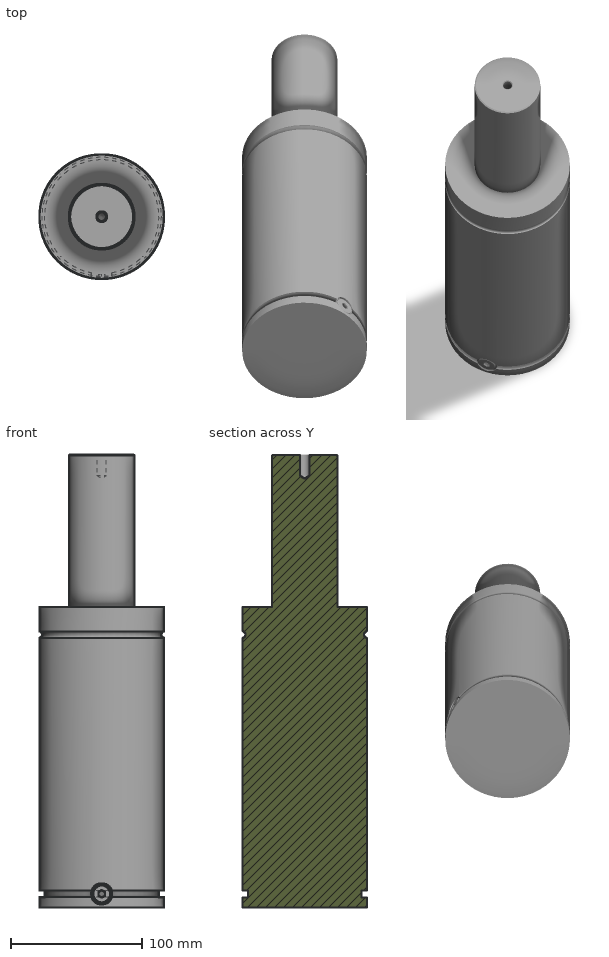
import cadquery as cq
import math

body_diameter = 95.0
body_height = 229.0
overall_height = 345.0

rod_diameter = 50.0
rod_chamfer_width = 1.0
rod_chamfer_height = 0.5

base_groove_bottom = 8.0
base_groove_width = 5.0
base_groove_depth = 4.0

collar_height = 18.5
collar_groove_width = 5.0
collar_groove_depth = 2.1

rod_hole_diameter = 6.8
rod_hole_mouth_diameter = 8.0
rod_hole_depth = 16.0
rod_hole_tip_angle = 118.0

plug_diameter = 14.0
plug_chamfer = 0.5
plug_length = 8.0
plug_face_setback = 0.5
plug_recess_diameter = 16.0
plug_recess_depth = 1.5
plug_hexagon_across_flats = 5.0
plug_hexagon_depth = 3.0
hexagon_sides = 6

body_radius = body_diameter / 2
rod_radius = rod_diameter / 2
plug_height = base_groove_bottom + base_groove_width / 2
plug_face_y = plug_face_setback - body_radius
plug_seat_y = plug_recess_depth - body_radius
plug_inner_y = plug_face_y + plug_length


def turned_body():
    """Revolve the cylinder and its piston rod, with both body grooves."""
    base_groove_radius = body_radius - base_groove_depth
    base_groove_top = base_groove_bottom + base_groove_width
    collar_groove_radius = body_radius - collar_groove_depth
    collar_bottom = body_height - collar_height
    collar_groove_bottom = collar_bottom - collar_groove_width
    collar_groove_middle = collar_bottom - collar_groove_width / 2
    profile = (
        cq.Workplane("XZ")
        .lineTo(body_radius, 0)
        .lineTo(body_radius, base_groove_bottom)
        .lineTo(base_groove_radius, base_groove_bottom)
        .lineTo(base_groove_radius, base_groove_top)
        .lineTo(body_radius, base_groove_top)
        .lineTo(body_radius, collar_groove_bottom)
        .threePointArc((collar_groove_radius, collar_groove_middle), (body_radius, collar_bottom))
        .lineTo(body_radius, body_height)
        .lineTo(rod_radius, body_height)
        .lineTo(rod_radius, overall_height - rod_chamfer_height)
        .lineTo(rod_radius - rod_chamfer_width, overall_height)
        .lineTo(0, overall_height)
        .close()
    )
    return profile.revolve(360, (0, 0), (0, 1))


def rod_hole():
    """Drilled hole in the rod end, with a conical tip and a 45 degree chamfered mouth."""
    hole_radius = rod_hole_diameter / 2
    tip_length = hole_radius / math.tan(math.radians(rod_hole_tip_angle / 2))
    mouth_radius = rod_hole_mouth_diameter / 2
    mouth_depth = mouth_radius - hole_radius
    hole_bottom = overall_height - rod_hole_depth
    profile = [
        (0, overall_height),
        (mouth_radius, overall_height),
        (hole_radius, overall_height - mouth_depth),
        (hole_radius, hole_bottom),
        (0, hole_bottom - tip_length),
    ]
    return cq.Workplane("XZ").polyline(profile).close().revolve(360, (0, 0), (0, 1))


def sideways_plane(y):
    """Plane across the filling plug's axis at the given Y, facing +Y, with its local X pointing up."""
    return cq.Workplane(cq.Plane(origin=(0, y, plug_height), xDir=(0, 0, 1), normal=(0, 1, 0)))


def cylinder_along_y(diameter, y_start, y_end):
    """Cylinder on the filling plug's axis, running from y_start to y_end."""
    return sideways_plane(y_start).circle(diameter / 2).extrude(y_end - y_start)


def add_filling_plug(body):
    """Fit a plug with a hexagon socket into a round recess centred on the base groove."""
    seat = cylinder_along_y(plug_recess_diameter, plug_seat_y, plug_inner_y)
    recess = cylinder_along_y(plug_recess_diameter, -body_radius, plug_seat_y)
    plug = cylinder_along_y(plug_diameter, plug_face_y, plug_inner_y)
    plug = plug.faces("<Y").edges().chamfer(plug_chamfer)
    hexagon_across_corners = plug_hexagon_across_flats / math.cos(math.pi / hexagon_sides)
    hexagon = sideways_plane(plug_face_y).polygon(hexagon_sides, hexagon_across_corners)
    socket = hexagon.extrude(plug_hexagon_depth)
    return body.cut(recess).union(seat).union(plug).cut(socket)


result = add_filling_plug(turned_body().cut(rod_hole()))